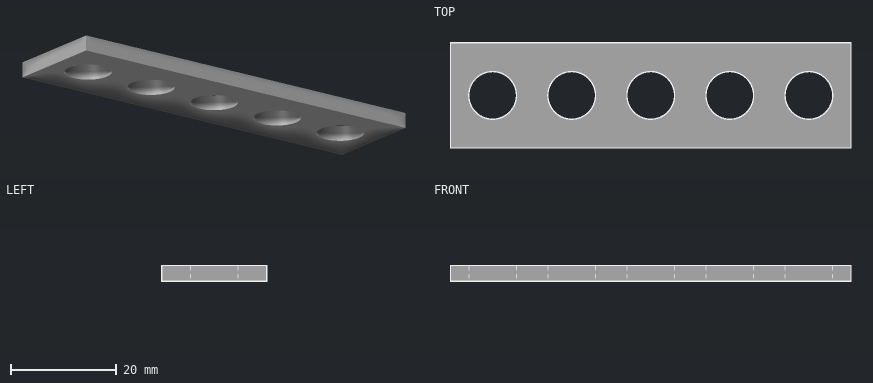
import cadquery as cq

LENGTH = 76.0
WIDTH = 20.0
THICKNESS = 3.0

HOLE_COUNT = 5
HOLE_DIAMETER = 9.0
HOLE_PITCH = 15.0


def make_plate():
    """Flat rectangular plate centred on the origin in X and Y, resting on Z = 0."""
    return cq.Workplane("XY").box(LENGTH, WIDTH, THICKNESS, centered=(True, True, False))


def drill_hole_row(plate):
    """Evenly spaced through holes, centred on the plate."""
    return (
        plate.faces(">Z")
        .workplane()
        .rarray(HOLE_PITCH, WIDTH, HOLE_COUNT, 1)
        .hole(HOLE_DIAMETER)
    )


result = drill_hole_row(make_plate())